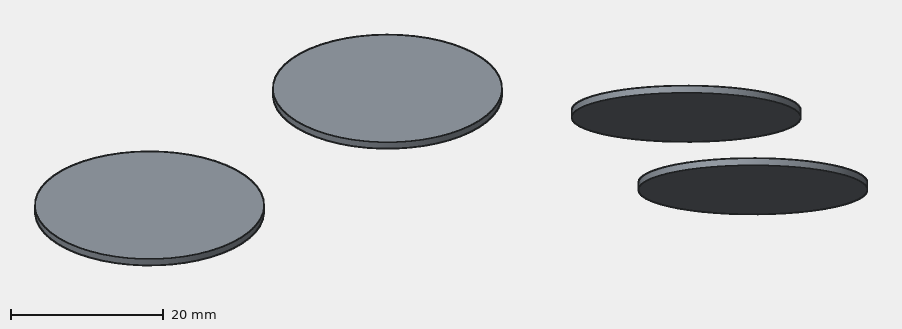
import cadquery as cq

overall_length = 75.0
disc_diameter = 30.0
disc_thickness = 1.0

disc_spacing = overall_length - disc_diameter


def make_disc(center_y):
    """Plain flat disc resting on the XY plane."""
    return (
        cq.Workplane("XY")
        .center(0, center_y)
        .circle(disc_diameter / 2)
        .extrude(disc_thickness)
    )


discs = [make_disc(side * disc_spacing / 2) for side in (-1, 1)]

result = cq.Compound.makeCompound([disc.val() for disc in discs])